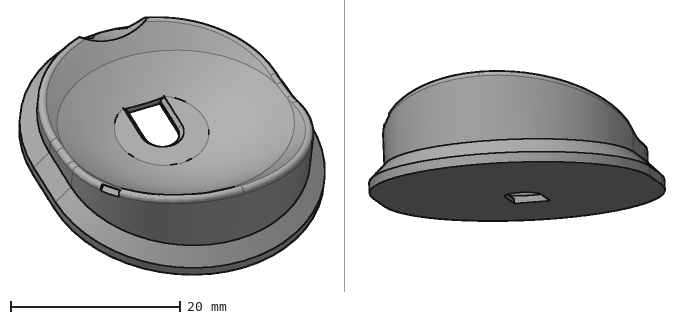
import cadquery as cq
import math

base_width = 33.6
base_radius = base_width / 2
straight_length = 6.0
tilt = 10.0
half_straight = straight_length / 2

flange_height = 1.2
chamfer_size = 1.9
neck_radius = base_radius - chamfer_size
blank_height = 17.65
rim_fillet = 0.6

floor_thickness = 1.0
floor_radius = 5.6
bowl_radius = 22.75
seam_radius = 14.05
cone_slope = 39.5
cone_rise = 15.7
bowl_center_height = floor_thickness + math.sqrt(bowl_radius**2 - floor_radius**2)

slot_radius = 2.15
slot_chamfer = 0.5
slot_top_radius = slot_radius + slot_chamfer
slot_length = 4.8

spout_radius = 7.85
spout_slope = 35.0
spout_length = 23.53
spout_inner_reach = 15.95
spout_inner_height = 4.0

flat_angle = -63.4
flat_height = 7.6
flat_depth = 0.08
flat_lean = 35.0
flat_climb = 18.0
flat_length = 2.75
flat_width = 0.95
flat_block_height = 0.6


def stadium(radius, bottom, height, taper=0):
    return (
        cq.Workplane("XY", origin=(0, 0, bottom))
        .slot2D(straight_length + 2 * radius, 2 * radius)
        .extrude(height, taper=taper)
    )


def make_body():
    flange = stadium(base_radius, 0, flange_height)
    slope = stadium(base_radius, flange_height, chamfer_size, taper=45)
    neck = stadium(neck_radius, 0, blank_height)
    return flange.union(slope).union(neck)


def make_bowl_void():
    """Spherical cap that opens into a cone, on an upright axis."""
    seam_depth = math.sqrt(bowl_radius**2 - seam_radius**2)
    cone_top_radius = seam_radius + cone_rise / math.tan(math.radians(cone_slope))
    seam_angle = math.asin(seam_radius / bowl_radius) / 2
    cap_middle = (bowl_radius * math.sin(seam_angle), -bowl_radius * math.cos(seam_angle))
    void = (
        cq.Workplane("XZ")
        .moveTo(0, -bowl_radius)
        .threePointArc(cap_middle, (seam_radius, -seam_depth))
        .lineTo(cone_top_radius, cone_rise - seam_depth)
        .lineTo(0, cone_rise - seam_depth)
        .close()
        .revolve(360, (0, 0, 0), (0, 1, 0))
    )
    void = void.rotate((0, 0, 0), (0, 1, 0), -tilt)
    return void.translate((-half_straight, 0, bowl_center_height))


def make_bowl():
    void = make_bowl_void()
    above_floor = stadium(base_radius, floor_thickness, blank_height)
    beyond_slot = cq.Workplane("XY").box(floor_radius, 2 * slot_top_radius, 2 * floor_thickness)
    beyond_slot = beyond_slot.translate((-half_straight - slot_length - floor_radius / 2, 0, 0))
    return void.intersect(above_floor.union(beyond_slot))


def make_slot():
    def outline(plane, radius):
        return (
            plane.moveTo(-slot_length, -radius)
            .lineTo(0, -radius)
            .threePointArc((radius, 0), (0, radius))
            .lineTo(-slot_length, radius)
            .close()
        )

    bottom = cq.Workplane("XY", origin=(-half_straight, 0, 0))
    through = outline(bottom, slot_radius).extrude(floor_thickness)
    chamfer_start = bottom.workplane(offset=floor_thickness - slot_chamfer)
    chamfer = outline(chamfer_start, slot_radius)
    chamfer = outline(chamfer.workplane(offset=slot_chamfer), slot_top_radius).loft(ruled=True)
    return through.union(chamfer)


def round_rim(body):
    rim_start = flange_height + chamfer_size + rim_fillet
    rim = body.edges().filter(lambda edge: edge.BoundingBox().zmin > rim_start)
    return rim.fillet(rim_fillet)


def make_spout():
    drop = math.radians(spout_slope)
    start = cq.Vector(-spout_inner_reach, 0, spout_inner_height)
    outward = cq.Vector(-math.cos(drop), 0, -math.sin(drop))
    upward = cq.Vector(-math.sin(drop), 0, math.cos(drop))
    axis_start = start + upward * spout_radius - outward * (spout_length / 2)
    return cq.Workplane(cq.Solid.makeCylinder(spout_radius, spout_length, axis_start, outward))


def make_rim_flat():
    block = cq.Workplane("XY").box(flat_width, flat_length, flat_block_height)
    block = block.translate((0, 0, rim_fillet - flat_depth + flat_block_height / 2))
    block = block.rotate((0, 0, 0), (0, 1, 0), flat_lean)
    block = block.rotate((0, 0, 0), (1, 0, 0), flat_climb)
    block = block.translate((neck_radius - rim_fillet, 0, flat_height))
    block = block.rotate((0, 0, 0), (0, 0, 1), flat_angle)
    return block.translate((half_straight, 0, 0))


body = round_rim(make_body().cut(make_bowl()))
body = body.cut(make_slot()).cut(make_spout()).cut(make_rim_flat())
result = body.rotate((0, 0, 0), (0, 1, 0), tilt)